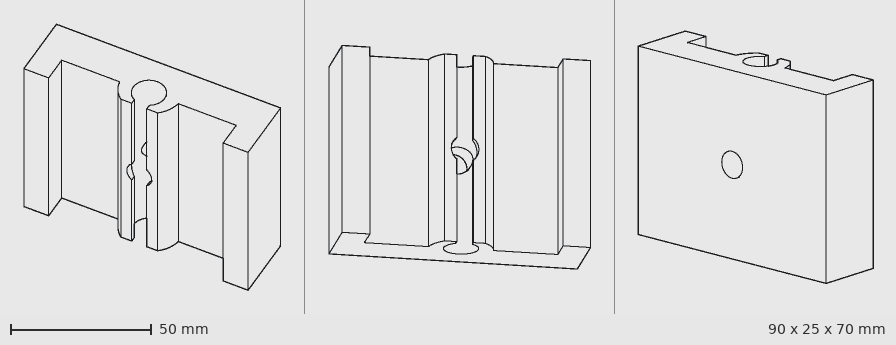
import cadquery as cq
import math

width = 90.0
depth = 25.0
height = 70.0
leg_width = 10.0
plate_thickness = 15.0

boss_half_width = 11.8
nose_half_width = 7.4
boss_projection = 7.5

bore_diameter = 12.5
slot_width = 6.0

cross_hole_diameter = 10.0

face_y = depth / 2 - plate_thickness
nose_y = face_y - boss_projection

flank_centre_offset = (
    boss_half_width**2 - nose_half_width**2 - boss_projection**2
) / (2 * boss_projection)
flank_radius = math.hypot(boss_half_width, flank_centre_offset)
flank_centre_y = face_y + flank_centre_offset


def centred_box(size_x, y_min, y_max):
    """Full-height box centred on X and Z, between two Y planes."""
    return cq.Workplane("XY").box(size_x, y_max - y_min, height).translate((0, (y_min + y_max) / 2, 0))


def full_height_cylinder(radius, centre_y):
    """Full-height cylinder along Z on the mid plane."""
    return cq.Workplane("XY").center(0, centre_y).circle(radius).extrude(height / 2, both=True)


block = centred_box(width, -depth / 2, depth / 2)
channel = centred_box(width - 2 * leg_width, -depth / 2, face_y)
body = block.cut(channel)

boss_limits = centred_box(2 * flank_radius, nose_y, face_y)
boss = full_height_cylinder(flank_radius, flank_centre_y).intersect(boss_limits)
body = body.union(boss)

bore = full_height_cylinder(bore_diameter / 2, face_y)
slot = centred_box(slot_width, nose_y, face_y)
body = body.cut(bore).cut(slot)

cross_hole = cq.Workplane("XZ").circle(cross_hole_diameter / 2).extrude(depth, both=True)
result = body.cut(cross_hole)